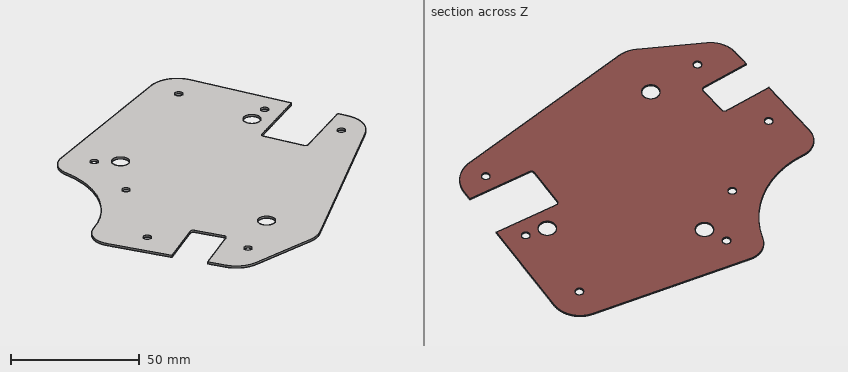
import cadquery as cq
import math

thickness = 1.0

top_left = (18.2, 137.2)
top_right = (105.7, 126.5)
right_tip = (114.5, 33.0)
bottom_right = (94.6, -0.1)
bottom_left = (27.5, 2.6)
left_tip = (-1.8, 52.7)

scoop_center = (-8.2, 15.5)
scoop_radius = 37.8
scoop_middle_angle = math.radians(35)

large_corner_radius = 12.0
small_corner_radius = 9.0

top_slot_floor = (78.4, 101.1)
top_slot_width = 19.8
bottom_slot_floor = (73.5, 22.4)
bottom_slot_width = 14.8
slot_corner_radius = 1.2
slot_cut_length = 40.8

small_hole_diameter = 3.3
small_hole_centers = [
    (28.0, 123.9),
    (63.6, 122.6),
    (97.2, 116.0),
    (13.3, 62.6),
    (32.1, 45.1),
    (91.6, 15.8),
    (51.6, 11.8),
]
large_hole_diameter = 7.0
large_hole_centers = [(61.3, 113.7), (23.1, 65.9), (91.7, 38.7)]


def edge_angle(start, end):
    """Direction of the edge from start to end, in degrees."""
    return math.degrees(math.atan2(end[1] - start[1], end[0] - start[0]))


def round_corner(plate, corner, radius):
    """Round the upright edge standing at the given outline corner."""
    nearest = cq.selectors.NearestToPointSelector((*corner, thickness / 2))
    return plate.edges("|Z").edges(nearest).fillet(radius)


def make_plate():
    scoop_middle = (
        scoop_center[0] + scoop_radius * math.cos(scoop_middle_angle),
        scoop_center[1] + scoop_radius * math.sin(scoop_middle_angle),
    )
    plate = (
        cq.Workplane("XY")
        .moveTo(*left_tip)
        .lineTo(*top_left)
        .lineTo(*top_right)
        .lineTo(*right_tip)
        .lineTo(*bottom_right)
        .lineTo(*bottom_left)
        .threePointArc(scoop_middle, left_tip)
        .close()
        .extrude(thickness)
    )
    for corner in (top_left, top_right, right_tip, bottom_right):
        plate = round_corner(plate, corner, large_corner_radius)
    for corner in (bottom_left, left_tip):
        plate = round_corner(plate, corner, small_corner_radius)
    return plate


def make_slot(floor, width, opening_angle):
    """Slot cutter that runs from its floor toward opening_angle (degrees)."""
    return (
        cq.Workplane("XY")
        .box(slot_cut_length, width, thickness, centered=(False, True, False))
        .edges("|Z and <X")
        .fillet(slot_corner_radius)
        .rotate((0, 0, 0), (0, 0, 1), opening_angle)
        .translate((*floor, 0))
    )


def make_holes(centers, diameter):
    return cq.Workplane("XY").pushPoints(centers).circle(diameter / 2).extrude(thickness)


top_slot_angle = edge_angle(top_left, top_right) + 90
bottom_slot_angle = edge_angle(bottom_left, bottom_right) - 90

result = (
    make_plate()
    .cut(make_slot(top_slot_floor, top_slot_width, top_slot_angle))
    .cut(make_slot(bottom_slot_floor, bottom_slot_width, bottom_slot_angle))
    .cut(make_holes(small_hole_centers, small_hole_diameter))
    .cut(make_holes(large_hole_centers, large_hole_diameter))
)